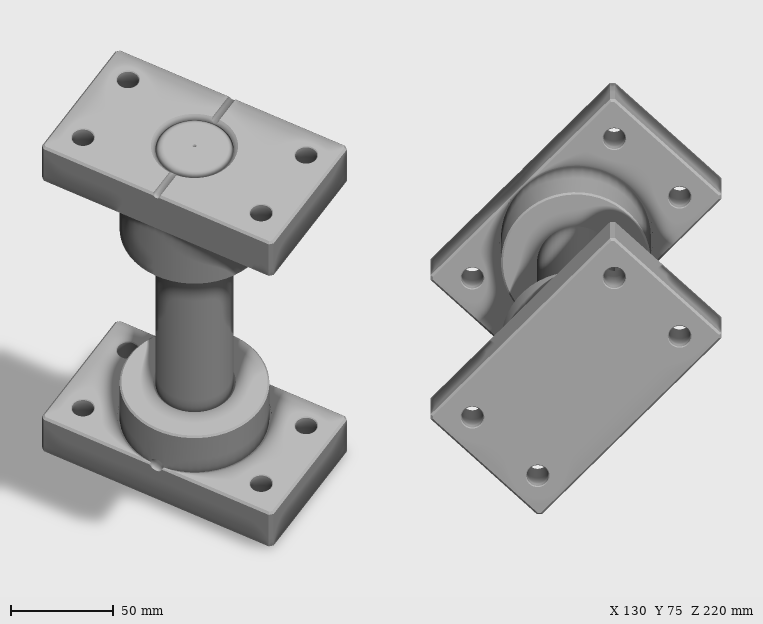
import cadquery as cq

total_height = 220.0
plate_length = 130.0
plate_width = 75.0
plate_thickness = 24.9
edge_chamfer = 1.0
corner_chamfer = 1.8

lower_collar_top = 50.0
upper_collar_bottom = 159.5
upper_plate_top = 219.8
lower_plate_top = plate_thickness
upper_plate_bottom = upper_plate_top - plate_thickness

collar_diameter = 73.0
collar_chamfer = 0.9
relief_width = 1.0
relief_depth = 0.5

pin_diameter = 38.0
pin_top_fillet = 4.5
center_mark_diameter = 2.0
center_mark_depth = 1.0
upper_bore_chamfer = 2.2
lower_bore_chamfer = 1.0

mounting_hole_diameter = 10.8
mounting_hole_spacing_x = 100.0
mounting_hole_spacing_y = 44.0
mounting_hole_chamfer = 0.5

vent_groove_radius = 2.0
side_hole_diameter = 7.0


def drilled_plate(bottom):
    """Rectangular plate with chamfered edges and four chamfered mounting holes."""
    plate = (
        cq.Workplane("XY", origin=(0, 0, bottom))
        .box(plate_length, plate_width, plate_thickness, centered=(True, True, False))
        .edges("|Z")
        .chamfer(corner_chamfer)
        .faces("<Z or >Z")
        .edges()
        .chamfer(edge_chamfer)
    )
    plate = (
        plate.faces(">Z")
        .workplane(origin=(0, 0, 0))
        .rect(mounting_hole_spacing_x, mounting_hole_spacing_y, forConstruction=True)
        .vertices()
        .hole(mounting_hole_diameter)
    )
    hole_rims = plate.faces("<Z or >Z").edges("%CIRCLE")
    return hole_rims.chamfer(mounting_hole_chamfer)


def cylinder(diameter, bottom, top):
    """Cylinder on the Z axis between two levels."""
    return cq.Workplane("XY", origin=(0, 0, bottom)).circle(diameter / 2).extrude(top - bottom)


def bore_chamfer_cone(size, level):
    """Cone that widens the bore upward to chamfer its top end at the given level."""
    return (
        cq.Workplane("XY", origin=(0, 0, level))
        .circle(pin_diameter / 2 + size)
        .workplane(offset=-size)
        .circle(pin_diameter / 2)
        .loft()
    )


def relief_ring(bottom):
    """Shallow annular relief around the root of a collar."""
    return (
        cq.Workplane("XY", origin=(0, 0, bottom))
        .circle(collar_diameter / 2 + relief_width)
        .circle(collar_diameter / 2)
        .extrude(relief_depth)
    )


def make_lower_housing():
    """Lower plate with an upright collar, bored for the pin."""
    collar = cylinder(collar_diameter, lower_plate_top - relief_depth, lower_collar_top)
    collar = collar.faces(">Z").edges().chamfer(collar_chamfer)
    side_hole = (
        cq.Workplane("XZ", origin=(0, 0, lower_plate_top))
        .circle(side_hole_diameter / 2)
        .extrude(plate_width / 2)
    )
    return (
        drilled_plate(0)
        .cut(relief_ring(lower_plate_top - relief_depth))
        .union(collar)
        .cut(cylinder(pin_diameter, 0, lower_collar_top))
        .cut(bore_chamfer_cone(lower_bore_chamfer, lower_collar_top))
        .cut(side_hole)
    )


def make_upper_housing():
    """Upper plate with a hanging collar, bored for the pin and grooved across its top."""
    collar = cylinder(collar_diameter, upper_collar_bottom, upper_plate_bottom + relief_depth)
    collar = collar.faces("<Z").edges().chamfer(collar_chamfer)
    vent_groove = (
        cq.Workplane("XZ", origin=(0, 0, upper_plate_top))
        .circle(vent_groove_radius)
        .extrude(plate_width / 2, both=True)
    )
    return (
        drilled_plate(upper_plate_bottom)
        .cut(relief_ring(upper_plate_bottom))
        .union(collar)
        .cut(cylinder(pin_diameter, upper_collar_bottom, upper_plate_top))
        .cut(bore_chamfer_cone(upper_bore_chamfer, upper_plate_top))
        .cut(vent_groove)
    )


def make_pin():
    """Guide pin with a rounded top end and a conical center mark."""
    pin = cylinder(pin_diameter, 0, total_height).faces(">Z").edges().fillet(pin_top_fillet)
    mark_tip = cq.Vector(0, 0, total_height - center_mark_depth)
    center_mark = cq.Solid.makeCone(0, center_mark_diameter / 2, center_mark_depth, mark_tip)
    return pin.cut(cq.Workplane(center_mark))


lower_housing = make_lower_housing()
upper_housing = make_upper_housing()
pin = make_pin()

result = cq.Compound.makeCompound([lower_housing.val(), upper_housing.val(), pin.val()])